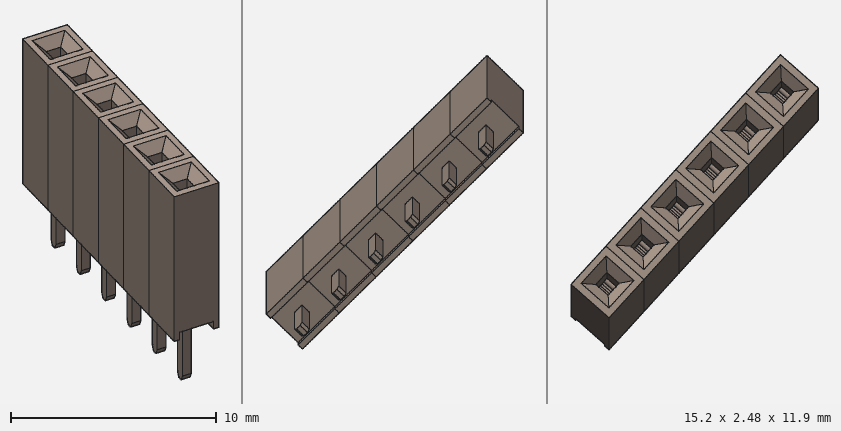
import cadquery as cq


cell_count = 6
row_length = 15.24
pitch = row_length / cell_count

cell_depth = 2.48
cell_height = 8.6
foot_thickness = 0.3
foot_height = 0.44

funnel_width = 1.81
throat_width = 0.8
funnel_depth = (funnel_width - throat_width) / 2
throat_depth = 1.83
throat_floor = cell_height - funnel_depth - throat_depth

contact_offset = 0.05
arm_spacing = 0.55
arm_tip_radius = 0.15
cup_depth = 0.008
contact_base = 0.15

overall_height = 11.89
pin_width = 0.5
pin_length = overall_height - cell_height
pin_tip_width = 0.25
pin_tip_height = 0.3


def housing_cell():
    """Square block with a channel between two feet, and a funnel and throat in its top."""
    block = cq.Workplane("XY").box(pitch, cell_depth, cell_height, centered=(True, True, False))
    channel = cq.Workplane("XY").box(
        pitch, cell_depth - 2 * foot_thickness, foot_height, centered=(True, True, False)
    )
    funnel = (
        cq.Workplane("XY", origin=(0, 0, cell_height))
        .rect(funnel_width, funnel_width)
        .workplane(offset=-funnel_depth)
        .rect(throat_width, throat_width)
        .loft(ruled=True)
    )
    throat = cq.Workplane("XY", origin=(0, 0, throat_floor)).box(
        throat_width, throat_width, throat_depth, centered=(True, True, False)
    )
    return block.cut(channel).cut(funnel).cut(throat)


def contact_head():
    """Two half-round arm tips, with a pair of shallow cups between them that meet in a ridge."""
    arm_center = arm_spacing / 2
    tip_outside = arm_center + arm_tip_radius
    tip_inside = arm_center - arm_tip_radius
    cup_center = tip_inside / 2

    return (
        cq.Workplane("XZ", origin=(contact_offset, 0, throat_floor))
        .moveTo(-tip_outside, 0)
        .lineTo(-tip_outside, contact_base)
        .threePointArc((-arm_center, contact_base + arm_tip_radius), (-tip_inside, contact_base))
        .threePointArc((-cup_center, contact_base - cup_depth), (0, contact_base))
        .threePointArc((cup_center, contact_base - cup_depth), (tip_inside, contact_base))
        .threePointArc((arm_center, contact_base + arm_tip_radius), (tip_outside, contact_base))
        .lineTo(tip_outside, 0)
        .close()
        .extrude(throat_width / 2, both=True)
    )


def solder_pin():
    """Square pin from the channel roof down to a tip tapered along X."""
    half_width = pin_width / 2
    half_tip = pin_tip_width / 2
    taper_start = pin_tip_height - pin_length
    return (
        cq.Workplane("XZ", origin=(contact_offset, 0, 0))
        .polyline([
            (-half_width, foot_height),
            (-half_width, taper_start),
            (-half_tip, -pin_length),
            (half_tip, -pin_length),
            (half_width, taper_start),
            (half_width, foot_height),
        ])
        .close()
        .extrude(half_width, both=True)
    )


def socket_position(x):
    """One complete position of the row, centred at x."""
    return housing_cell().union(contact_head()).union(solder_pin()).translate((x, 0, 0))


positions = []
for index in range(cell_count):
    cell_x = (index - (cell_count - 1) / 2) * pitch
    positions.append(socket_position(cell_x).solids().val())

result = cq.Compound.makeCompound(positions)